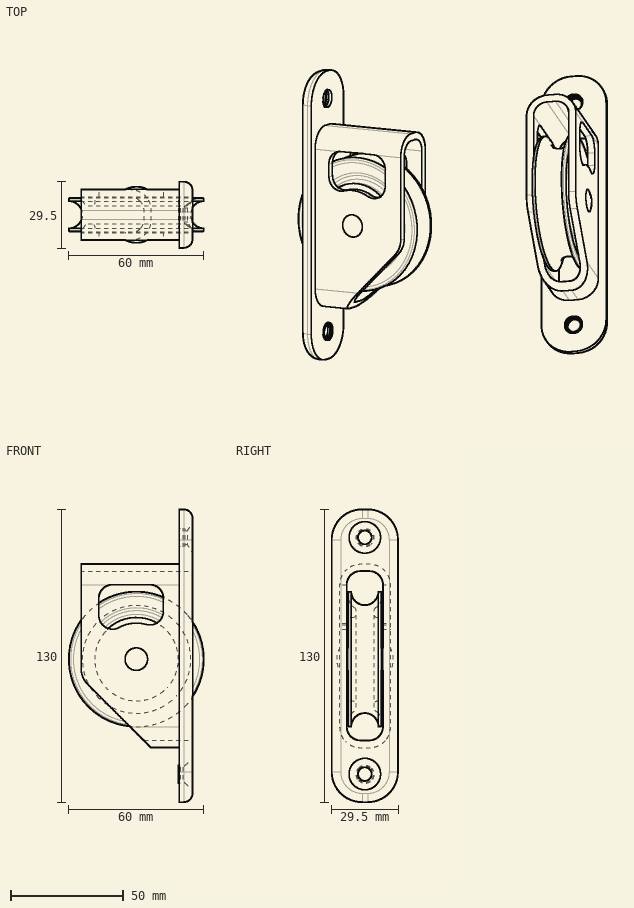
import cadquery as cq
import math


PLATE_WIDTH = 29.5
PLATE_HEIGHT = 130.0
PLATE_THICKNESS = 6.0
PLATE_CORNER_RADIUS = 13.5
PLATE_EDGE_FILLET = 4.0
PLATE_BACK_X = 19.0
PLATE_FRONT_X = PLATE_BACK_X + PLATE_THICKNESS
PLATE_CENTER_Z = 1.5

SCREW_END_DISTANCE = 12.5
SCREW_OFFSET_Z = PLATE_HEIGHT / 2 - SCREW_END_DISTANCE
EYELET_DIAMETER = 8.0
EYELET_BORE_DIAMETER = 7.5
EYELET_BORE_DEPTH = 1.0
SCREW_HOLE_DIAMETER = 6.0
SCREW_HOLE_LAND = 1.0
COUNTERSINK_DIAMETER = 14.0
TOP_EYELET_RECESS = 1.5
BOTTOM_EYELET_PROJECTION = 0.5

BRACKET_WIDTH = 22.5
BRACKET_HEIGHT = 81.5
BRACKET_LENGTH = 43.5
BRACKET_WALL = 3.25
BRACKET_BEND_RADIUS = 9.25
BRACKET_BACK_X = PLATE_BACK_X - BRACKET_LENGTH
BRACKET_BOTTOM_Z = PLATE_CENTER_Z - BRACKET_HEIGHT / 2
BRACKET_CHAMFER = 31.0
BRACKET_CHAMFER_BLEND = 10.0
OPENING_WIDTH = BRACKET_WIDTH - 2 * BRACKET_WALL
OPENING_HEIGHT = BRACKET_HEIGHT - 2 * BRACKET_WALL
OPENING_CORNER_RADIUS = BRACKET_BEND_RADIUS - BRACKET_WALL

WINDOW_LEFT_X = -16.6
WINDOW_RIGHT_X = 12.0
WINDOW_TOP_Z = PLATE_CENTER_Z + BRACKET_HEIGHT / 2 - BRACKET_BEND_RADIUS
WINDOW_FLOOR_RADIUS = 16.0
WINDOW_CORNER_RADIUS = 6.0

WHEEL_RADIUS = 30.0
WHEEL_HALF_WIDTH = 7.5
RIM_FILLET = 0.75
RIM_FACE_INNER_RADIUS = 28.0
GROOVE_RADIUS = 6.0
SHOULDER_RADIUS = 6.0
DISH_FILLET = 1.5
WEB_HALF_THICKNESS = 4.0
HUB_RADIUS = 37.0 / 2

AXLE_DIAMETER = 10.0
RIVET_HEAD_HEIGHT = 1.25


def x_prism(width, height, corner_radius, start_x, end_x):
    """Upright rounded rectangle centred on the plate, extruded along X."""
    return (
        cq.Workplane("YZ", origin=(start_x, 0, PLATE_CENTER_Z))
        .rect(width, height)
        .extrude(end_x - start_x)
        .edges("|X")
        .fillet(corner_radius)
    )


def x_cylinder(diameter, start_x, end_x, z):
    return cq.Workplane("YZ", origin=(start_x, 0, z)).circle(diameter / 2).extrude(end_x - start_x)


def make_plate():
    plate = x_prism(PLATE_WIDTH, PLATE_HEIGHT, PLATE_CORNER_RADIUS, PLATE_BACK_X, PLATE_FRONT_X)
    return plate.faces(">X").edges().fillet(PLATE_EDGE_FILLET)


def add_eyelet(body, z, end_x):
    """Fit a stepped eyelet whose rear end lies at end_x, behind or inside the plate's back face."""
    if end_x > PLATE_BACK_X:
        body = body.cut(x_cylinder(EYELET_DIAMETER, PLATE_BACK_X, end_x, z))
    else:
        body = body.union(x_cylinder(EYELET_DIAMETER, end_x, PLATE_FRONT_X, z))
    body = body.cut(x_cylinder(EYELET_BORE_DIAMETER, end_x, end_x + EYELET_BORE_DEPTH, z))
    body = body.cut(x_cylinder(SCREW_HOLE_DIAMETER, end_x, PLATE_FRONT_X, z))
    countersink_x = end_x + EYELET_BORE_DEPTH + SCREW_HOLE_LAND
    countersink = cq.Solid.makeCone(
        SCREW_HOLE_DIAMETER / 2,
        COUNTERSINK_DIAMETER / 2,
        PLATE_FRONT_X - countersink_x,
        pnt=cq.Vector(countersink_x, 0, z),
        dir=cq.Vector(1, 0, 0),
    )
    return body.cut(cq.Workplane(countersink))


def make_bracket():
    loop = x_prism(BRACKET_WIDTH, BRACKET_HEIGHT, BRACKET_BEND_RADIUS, BRACKET_BACK_X, PLATE_BACK_X)
    corner = (
        cq.Workplane("XZ", origin=(BRACKET_BACK_X, 0, BRACKET_BOTTOM_Z))
        .lineTo(BRACKET_CHAMFER, 0)
        .lineTo(0, BRACKET_CHAMFER)
        .close()
        .extrude(BRACKET_WIDTH / 2, both=True)
    )
    loop = loop.cut(corner)
    chamfer_top = (BRACKET_BACK_X, 0, BRACKET_BOTTOM_Z + BRACKET_CHAMFER)
    return loop.edges(cq.NearestToPointSelector(chamfer_top)).fillet(BRACKET_CHAMFER_BLEND)


def floor_blend(corner_x, side):
    """Corner between a window side and its floor: centre height, low point and floor tangency."""
    center_x = corner_x - side * WINDOW_CORNER_RADIUS
    center_distance = WINDOW_FLOOR_RADIUS + WINDOW_CORNER_RADIUS
    center_z = math.sqrt(center_distance**2 - center_x**2)
    low_point = (center_x, center_z - WINDOW_CORNER_RADIUS)
    scale = WINDOW_FLOOR_RADIUS / center_distance
    tangency = (center_x * scale, center_z * scale)
    return center_z, low_point, tangency


def make_window():
    left_z, left_low, left_floor = floor_blend(WINDOW_LEFT_X, -1)
    right_z, right_low, right_floor = floor_blend(WINDOW_RIGHT_X, 1)
    return (
        cq.Workplane("XZ")
        .moveTo(WINDOW_LEFT_X + WINDOW_CORNER_RADIUS, WINDOW_TOP_Z)
        .lineTo(WINDOW_RIGHT_X - WINDOW_CORNER_RADIUS, WINDOW_TOP_Z)
        .tangentArcPoint((WINDOW_RIGHT_X, WINDOW_TOP_Z - WINDOW_CORNER_RADIUS), relative=False)
        .lineTo(WINDOW_RIGHT_X, right_z)
        .threePointArc(right_low, right_floor)
        .threePointArc((0, WINDOW_FLOOR_RADIUS), left_floor)
        .threePointArc(left_low, (WINDOW_LEFT_X, left_z))
        .lineTo(WINDOW_LEFT_X, WINDOW_TOP_Z - WINDOW_CORNER_RADIUS)
        .tangentArcPoint((WINDOW_LEFT_X + WINDOW_CORNER_RADIUS, WINDOW_TOP_Z), relative=False)
        .close()
        .extrude(BRACKET_WIDTH / 2, both=True)
    )


def revolve_about_y(profile):
    return profile.close().revolve(360, (0, 0, 0), (0, 1, 0))


def make_dish():
    """Annular recess in the +Y side face of the wheel, leaving the web between hub and rim.

    A convex shoulder curves in from the rim face and runs tangentially into the web fillet.
    """
    shoulder_center_y = WHEEL_HALF_WIDTH - SHOULDER_RADIUS
    fillet_center_y = WEB_HALF_THICKNESS + DISH_FILLET
    center_distance = SHOULDER_RADIUS + DISH_FILLET
    turn = math.acos((fillet_center_y - shoulder_center_y) / center_distance)
    web_outer_r = RIM_FACE_INNER_RADIUS - center_distance * math.sin(turn)
    web_inner_r = HUB_RADIUS + DISH_FILLET
    diagonal = DISH_FILLET * math.sqrt(0.5)
    shoulder_mid = (
        RIM_FACE_INNER_RADIUS - SHOULDER_RADIUS * math.sin(turn / 2),
        shoulder_center_y + SHOULDER_RADIUS * math.cos(turn / 2),
    )
    shoulder_end = (
        RIM_FACE_INNER_RADIUS - SHOULDER_RADIUS * math.sin(turn),
        shoulder_center_y + SHOULDER_RADIUS * math.cos(turn),
    )
    web_fillet_mid = (
        web_outer_r + DISH_FILLET * math.sin(turn / 2),
        fillet_center_y - DISH_FILLET * math.cos(turn / 2),
    )
    return revolve_about_y(
        cq.Workplane("XY")
        .moveTo(HUB_RADIUS, WHEEL_HALF_WIDTH)
        .lineTo(HUB_RADIUS, fillet_center_y)
        .threePointArc(
            (web_inner_r - diagonal, fillet_center_y - diagonal),
            (web_inner_r, WEB_HALF_THICKNESS),
        )
        .lineTo(web_outer_r, WEB_HALF_THICKNESS)
        .threePointArc(web_fillet_mid, shoulder_end)
        .threePointArc(shoulder_mid, (RIM_FACE_INNER_RADIUS, WHEEL_HALF_WIDTH))
    )


def make_wheel():
    wheel = cq.Workplane("XZ").circle(WHEEL_RADIUS).extrude(WHEEL_HALF_WIDTH, both=True)
    wheel = wheel.edges().fillet(RIM_FILLET)
    groove = cq.Solid.makeTorus(WHEEL_RADIUS, GROOVE_RADIUS, dir=cq.Vector(0, 1, 0))
    wheel = wheel.cut(cq.Workplane(groove))
    dish = make_dish()
    return wheel.cut(dish).cut(dish.mirror("XZ"))


def make_axle():
    """Axle through both cheeks, with a shallow spherical head on each end."""
    radius = AXLE_DIAMETER / 2
    cheek_y = BRACKET_WIDTH / 2
    head_top = cheek_y + RIVET_HEAD_HEIGHT
    dome_radius = (radius**2 + RIVET_HEAD_HEIGHT**2) / (2 * RIVET_HEAD_HEIGHT)
    dome_center = head_top - dome_radius
    half_angle = math.asin(radius / dome_radius) / 2
    mid_x = dome_radius * math.sin(half_angle)
    mid_y = dome_center + dome_radius * math.cos(half_angle)
    return revolve_about_y(
        cq.Workplane("XY")
        .moveTo(0, -head_top)
        .threePointArc((mid_x, -mid_y), (radius, -cheek_y))
        .lineTo(radius, cheek_y)
        .threePointArc((mid_x, mid_y), (0, head_top))
    )


body = make_plate().union(make_bracket())
body = body.cut(
    x_prism(OPENING_WIDTH, OPENING_HEIGHT, OPENING_CORNER_RADIUS, BRACKET_BACK_X, PLATE_FRONT_X)
)
body = body.cut(make_window())
body = add_eyelet(body, PLATE_CENTER_Z + SCREW_OFFSET_Z, PLATE_BACK_X + TOP_EYELET_RECESS)
body = add_eyelet(body, PLATE_CENTER_Z - SCREW_OFFSET_Z, PLATE_BACK_X - BOTTOM_EYELET_PROJECTION)

result = body.union(make_wheel()).union(make_axle())